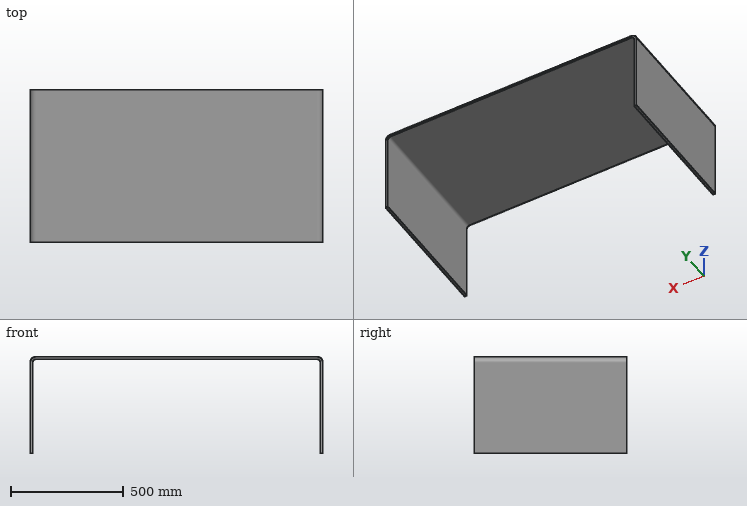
import cadquery as cq

length = 1302.0
width = 680.0
height = 430.0

thickness = 12.0
inner_bend_radius = 15.0
outer_bend_radius = inner_bend_radius + thickness


def arch(span, rise, bend_radius):
    """Block standing on Z = 0, centred on X and Y, with its two upper long edges rounded."""
    block = cq.Workplane("XY").box(span, width, rise, centered=(True, True, False))
    return block.edges("|Y and >Z").fillet(bend_radius)


outer = arch(length, height, outer_bend_radius)
inner = arch(length - 2 * thickness, height - thickness, inner_bend_radius)

result = outer.cut(inner)